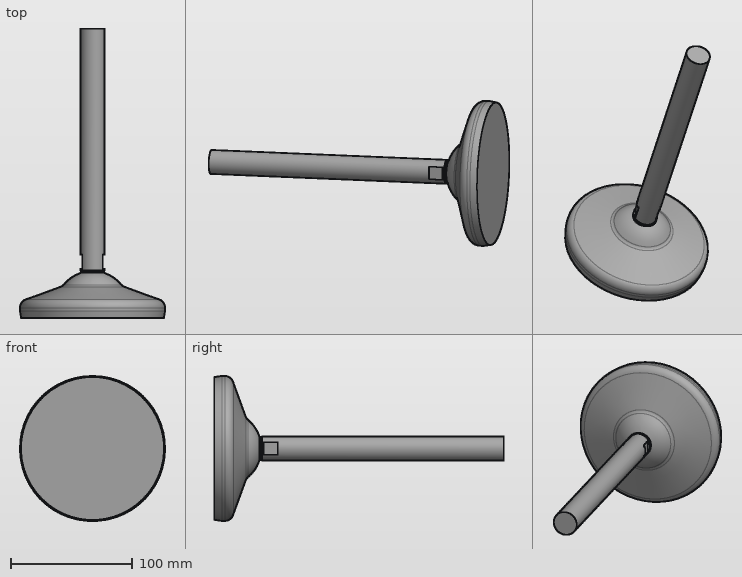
import cadquery as cq
import math

base_radius = 60.0
base_bottom_radius = 59.0
rim_taper_height = 6.0
rim_arc_start = 8.6
rim_arc_radius = 7.4
cone_angle = math.radians(20.0)
dome_radius = 31.0
dome_centre_height = 8.0
hub_fillet_radius = 6.0

total_length = 239.0
spindle_radius = 10.0
groove_depth = 0.4
groove_flank = 0.6
groove_floor = 1.0
across_flats = 17.0
flat_start = 41.0
flat_length = 11.4

seat_height = dome_centre_height + math.sqrt(dome_radius**2 - spindle_radius**2)


def point_on_arc(centre, radius, angle):
    """Point of an arc in a (height, distance from axis) profile; angle 0 points away from the axis."""
    return (
        centre[0] + radius * math.sin(angle),
        centre[1] + radius * math.cos(angle),
    )


def revolve_about_axis(profile):
    """Close a (height, distance from axis) profile and turn it about the Y axis."""
    return profile.close().revolve(360, (0, 0), (1, 0))


def make_foot():
    rim_centre = (rim_arc_start, base_radius - rim_arc_radius)
    dome_centre = (dome_centre_height, 0)

    cone_normal = math.pi / 2 - cone_angle
    rim_middle = point_on_arc(rim_centre, rim_arc_radius, cone_normal / 2)
    rim_end = point_on_arc(rim_centre, rim_arc_radius, cone_normal)

    rim_end_rise = rim_end[0] - dome_centre_height
    cone_distance = rim_end_rise * math.cos(cone_angle) + rim_end[1] * math.sin(cone_angle)
    centre_distance = dome_radius + hub_fillet_radius
    fillet_direction = cone_normal - math.acos((cone_distance + hub_fillet_radius) / centre_distance)
    fillet_centre = point_on_arc(dome_centre, centre_distance, fillet_direction)

    fillet_start = point_on_arc(fillet_centre, -hub_fillet_radius, cone_normal)
    fillet_middle = point_on_arc(fillet_centre, -hub_fillet_radius, (cone_normal + fillet_direction) / 2)
    fillet_end = point_on_arc(dome_centre, dome_radius, fillet_direction)

    dome_end_direction = math.acos(spindle_radius / dome_radius)
    dome_middle = point_on_arc(dome_centre, dome_radius, (fillet_direction + dome_end_direction) / 2)

    profile = (
        cq.Workplane("YZ")
        .lineTo(0, base_bottom_radius)
        .lineTo(rim_taper_height, base_radius)
        .lineTo(rim_arc_start, base_radius)
        .threePointArc(rim_middle, rim_end)
        .lineTo(*fillet_start)
        .threePointArc(fillet_middle, fillet_end)
        .threePointArc(dome_middle, (seat_height, spindle_radius))
        .lineTo(seat_height, 0)
    )
    return revolve_about_axis(profile)


def make_spindle():
    profile = (
        cq.Workplane("YZ")
        .moveTo(seat_height, 0)
        .lineTo(seat_height, spindle_radius)
        .line(groove_flank, -groove_depth)
        .line(groove_floor, 0)
        .line(groove_flank, groove_depth)
        .lineTo(total_length, spindle_radius)
        .lineTo(total_length, 0)
    )
    return cut_wrench_flats(revolve_about_axis(profile))


def cut_wrench_flats(spindle):
    flat_depth = spindle_radius - across_flats / 2
    flat_middle = flat_start + flat_length / 2
    for side in (-1, 1):
        cutter = cq.Workplane("XY").box(flat_depth, flat_length, 2 * spindle_radius)
        cutter = cutter.translate((side * (across_flats + flat_depth) / 2, flat_middle, 0))
        spindle = spindle.cut(cutter)
    return spindle


foot = make_foot()
spindle = make_spindle()
result = cq.Compound.makeCompound([foot.val(), spindle.val()])